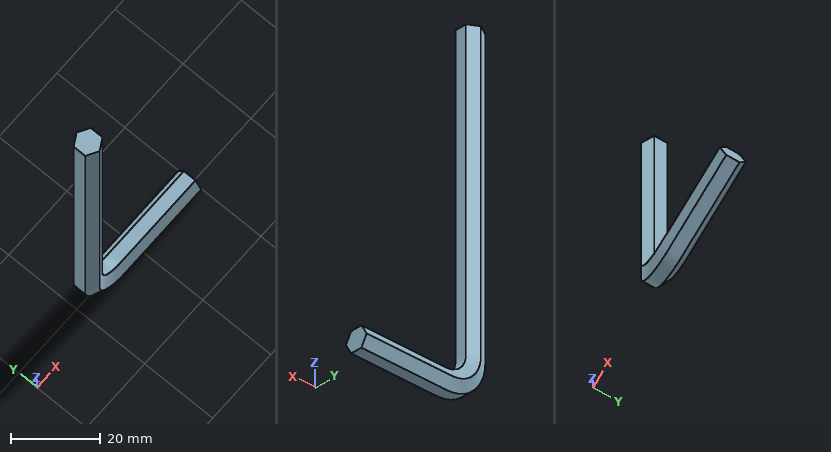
import cadquery as cq
import math

long_arm = 99.0
short_arm = 38.0
across_flats = 5.9
inner_bend_radius = 5.9

half_flats = across_flats / 2
across_corners = across_flats / math.cos(math.radians(30))
bend_radius = inner_bend_radius + half_flats
bend_mid = bend_radius * (1 - math.cos(math.radians(45)))

top = long_arm - half_flats
tip = short_arm - half_flats
centreline = (
    cq.Workplane("XZ")
    .moveTo(0, top)
    .lineTo(0, bend_radius)
    .threePointArc((bend_mid, bend_mid), (bend_radius, 0))
    .lineTo(tip, 0)
)

result = (
    cq.Workplane("XY", origin=(0, 0, top))
    .transformed(rotate=(0, 0, 90))
    .polygon(6, across_corners)
    .sweep(centreline)
)